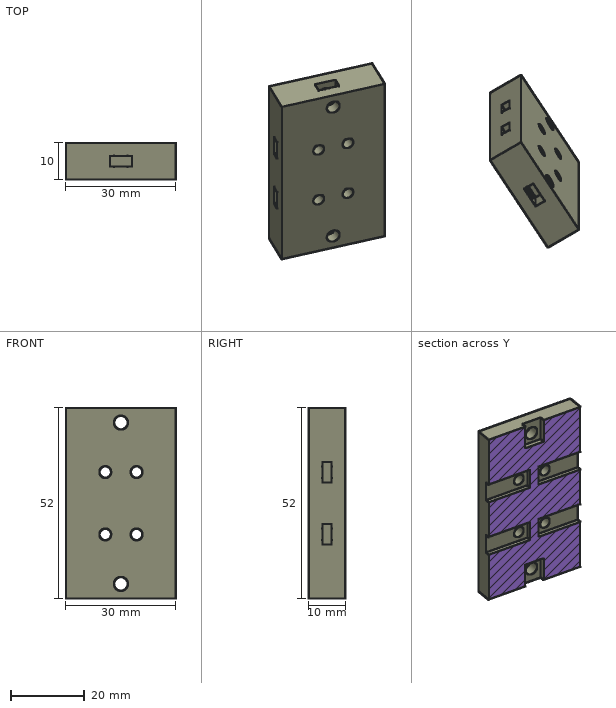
import cadquery as cq

width = 30.0
thickness = 10.0
height = 52.0

mount_diameter = 3.7
mount_spacing = 44.0
end_slot_width = 6.0
end_slot_thickness = 2.9

inner_diameter = 3.1
inner_spacing_x = 8.55
inner_spacing_z = 17.0
side_slot_width = 5.6
side_slot_thickness = 2.5


def through_holes(diameter, centres):
    """Cylinders along Y through the full plate thickness."""
    return (
        cq.Workplane("XZ")
        .pushPoints(centres)
        .circle(diameter / 2)
        .extrude(thickness / 2, both=True)
    )


def end_slot(direction):
    """Slot from the top (+1) or bottom (-1) to half a slot width past the mounting hole axis."""
    inner_end = mount_spacing / 2 - end_slot_width / 2
    length = height / 2 - inner_end
    centre_z = direction * (inner_end + length / 2)
    return cq.Workplane("XY").box(end_slot_width, end_slot_thickness, length).translate((0, 0, centre_z))


def side_slot(direction, z):
    """Slot from the +X or -X side to half a slot width past the inner hole axis."""
    inner_end = inner_spacing_x / 2 - side_slot_width / 2
    length = width / 2 - inner_end
    centre_x = direction * (inner_end + length / 2)
    return cq.Workplane("XY").box(length, side_slot_thickness, side_slot_width).translate((centre_x, 0, z))


mount_centres = [(0, side * mount_spacing / 2) for side in (-1, 1)]
inner_centres = [
    (side_x * inner_spacing_x / 2, side_z * inner_spacing_z / 2)
    for side_x in (-1, 1)
    for side_z in (-1, 1)
]

result = cq.Workplane("XY").box(width, thickness, height)
result = result.cut(through_holes(mount_diameter, mount_centres))
result = result.cut(through_holes(inner_diameter, inner_centres))
for direction in (-1, 1):
    result = result.cut(end_slot(direction))
    for side_z in (-1, 1):
        result = result.cut(side_slot(direction, side_z * inner_spacing_z / 2))